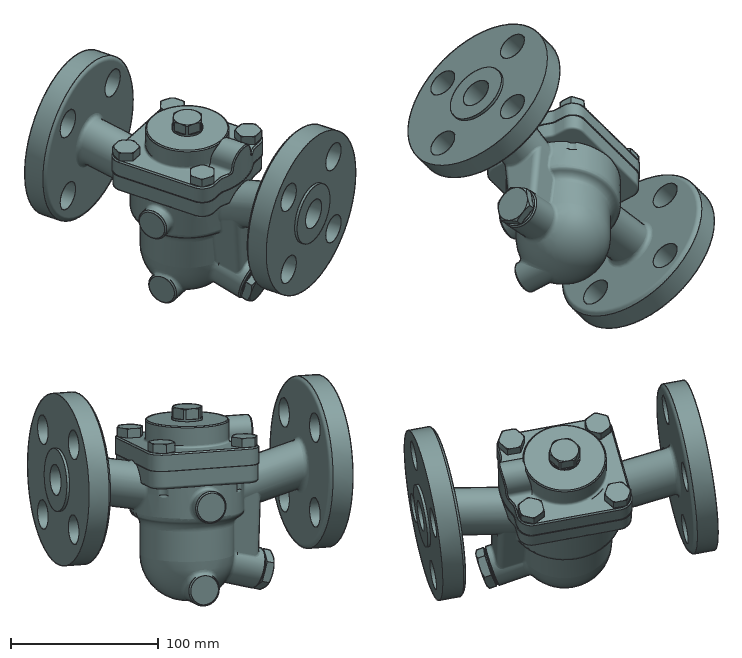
import cadquery as cq
import math


TOLERANCE = 1e-3
MARGIN = 0.1

FACE_TO_FACE = 195.0
FLANGE_DIA = 117.0
FLANGE_THICKNESS = 16.5
RAISED_FACE_DIA = 42.9
RAISED_FACE_HEIGHT = 2.0
FLANGE_CHAMFER = 2.0
FLANGE_BACK_X = FACE_TO_FACE / 2 - RAISED_FACE_HEIGHT - FLANGE_THICKNESS
BOLT_CIRCLE_DIA = 82.5
BOLT_HOLE_DIA = 20.0
BORE_DIA = 21.0
BORE_DEPTH = 30.0

PIPE_DIA = 32.0
INLET_TILT = 10.5
OUTLET_TILT = 15.0
PIPE_PIVOT_X = 81.0
PIPE_ROOT = 5.0
PIPE_FILLET = 3.0
PIPE_BODY_FILLET = 2.5

AXIS_X = -2.3
BODY_RADIUS = 32.0
NECK_RADIUS = 38.7
SPHERE_Z = -57.0
SHOULDER_END_Z = -36.2
SHOULDER_RADIUS = 7.0
SHOULDER_ROUND = 4.0

COVER_TOP_Z = 20.7
JOINT_Z = 8.4
BODY_FLANGE_BOTTOM_Z = -3.9
COVER_SIDE = 79.6
COVER_CORNER = 10.0
COVER_LOBE_RADIUS = 44.8
LOBE_BLEND = 8.0
BODY_FLANGE_INSET = 0.6
COVER_EDGE = 1.0
NECK_TOP_Z = 19.0
BODY_FLANGE_EDGE = 1.7

CAP_DIA = 56.5
CAP_TOP_Z = 35.5
CAP_FILLET = 1.7
CAP_EDGE = 0.8
ARM_RADIUS = 12.0
ARM_EDGE = 0.8

BOLT_OFFSET = 30.0
BOLT_FLATS = 16.0
BOLT_FACE_DIA = 17.0
BOLT_TURN = 30.0
BOLT_HEAD_TOP_Z = 27.0
HEX_CHAMFER_ANGLE = 30.0
BOLT_RELIEF_DIA = 10.0
BOLT_RELIEF_BOTTOM_Z = -10.3
BOLT_RELIEF_TIP = 5.0
BOLT_RELIEF_FILLET = 2.0

PLUG_FLATS = 19.0
PLUG_DIA = 21.0
PLUG_COLLAR_HEIGHT = 1.4
PLUG_TOP_Z = 44.2

BOSS_DIA = 22.0
BOSS_EDGE = 1.0
UPPER_BOSS_FILLET = 2.3
LOWER_BOSS_FILLET = 3.0
UPPER_BOSS_Z = -17.4
UPPER_BOSS_REACH = 46.0
LOWER_BOSS_Z = -76.5
LOWER_BOSS_REACH = 33.2

STRAINER_TILT = 15.0
STRAINER_DIA = 28.0
STRAINER_LENGTH = 52.5
STRAINER_EDGE = 1.0
STRAINER_FILLET = 3.5
STRAINER_COLLAR_DIA = 22.0
STRAINER_COLLAR_LENGTH = 1.0
STRAINER_CAP_FLATS = 24.0
STRAINER_CAP_LENGTH = 6.0
RIB_TOP_WIDTH = 31.4
RIB_DRAFT = 5.0
RIB_END_X = 46.4
RIB_EDGE = 4.2
RIB_FILLET = 2.0


def tilted(tilt, origin):
    """Workplane whose normal points toward +X and dips by `tilt` degrees."""
    angle = math.radians(tilt)
    normal = (math.cos(angle), 0, -math.sin(angle))
    return cq.Workplane(cq.Plane(origin=origin, xDir=(0, 1, 0), normal=normal))


def upright(z):
    """Horizontal workplane at height z, centred on the body axis."""
    return cq.Workplane("XY", origin=(AXIS_X, 0, z))


def shared_edges(shape, first, second):
    """Edges of `shape` that lie on the surfaces of both other shapes."""
    sample_fractions = (0.3, 0.5, 0.8)
    skins = [cq.Compound.makeCompound(solid.faces().vals()) for solid in (first, second)]

    def on_both(edge):
        points = [cq.Vertex.makeVertex(*edge.positionAt(f).toTuple()) for f in sample_fractions]
        return all(point.distance(skin) < TOLERANCE for point in points for skin in skins)

    return shape.newObject([edge for edge in shape.edges().vals() if on_both(edge)])


def joined(base, tool, radius):
    """Union of two shapes with a fillet along the line where their surfaces meet."""
    both = base.union(tool)
    return shared_edges(both, base, tool).fillet(radius)


def relieved(base, tool, radius):
    """Base with the tool cut away and the rim of the cut rounded, except along its flat top."""
    cut = base.cut(tool)
    top_z = tool.val().BoundingBox().zmax
    rim = shared_edges(cut, base, tool).filter(lambda edge: edge.BoundingBox().zmin < top_z - TOLERANCE)
    return rim.fillet(radius)


def hex_head(flats, dia, height, turn=0.0):
    """Hexagonal prism on z = 0 whose upper corners are turned down to a cone of diameter `dia`."""
    across_corners = flats / math.cos(math.pi / 6)
    prism = cq.Workplane("XY").polygon(6, across_corners).extrude(height)
    overhang = (across_corners - dia) / 2
    drop = overhang * math.tan(math.radians(HEX_CHAMFER_ANGLE))
    cone = (
        cq.Workplane("XZ")
        .polyline([
            (0, 0),
            (across_corners / 2, 0),
            (across_corners / 2, height - drop),
            (dia / 2, height),
            (0, height),
        ])
        .close()
        .revolve(360, (0, 0), (0, 1))
    )
    return prism.intersect(cone).rotate((0, 0, 0), (0, 0, 1), turn)


def outlet_flange():
    """Flange on the +X side with its raised face and bolt holes."""
    hole_spacing = BOLT_CIRCLE_DIA / math.sqrt(2)
    return (
        cq.Workplane("YZ", origin=(FLANGE_BACK_X, 0, 0))
        .circle(FLANGE_DIA / 2)
        .extrude(FLANGE_THICKNESS)
        .faces("<X").edges().chamfer(FLANGE_CHAMFER)
        .faces(">X").workplane()
        .rect(hole_spacing, hole_spacing, forConstruction=True)
        .vertices().hole(BOLT_HOLE_DIA)
        .faces(">X").workplane()
        .circle(RAISED_FACE_DIA / 2)
        .extrude(RAISED_FACE_HEIGHT)
    )


def pipe(tilt):
    """Outlet pipe falling from the flange to the body axis."""
    angle = math.radians(tilt)
    start = (PIPE_PIVOT_X + PIPE_ROOT * math.cos(angle), 0, PIPE_ROOT * math.sin(angle))
    length = PIPE_ROOT + (PIPE_PIVOT_X - abs(AXIS_X)) / math.cos(angle)
    return tilted(180 - tilt, start).circle(PIPE_DIA / 2).extrude(length)


def flanged_pipe(tilt):
    """Flange and pipe on the +X side, joined by a fillet."""
    reach = RAISED_FACE_DIA / 2
    around_joint = cq.selectors.BoxSelector(
        (FLANGE_BACK_X - MARGIN, -reach, -reach), (FLANGE_BACK_X + MARGIN, reach, reach)
    )
    flanged = outlet_flange().union(pipe(tilt))
    return flanged.edges(around_joint).fillet(PIPE_FILLET)


def body_shell():
    """Neck, shoulder, cylindrical wall and hemispherical bottom as one revolved solid."""
    hollow_x = BODY_RADIUS + SHOULDER_RADIUS
    round_x = NECK_RADIUS - SHOULDER_ROUND
    centre_distance = SHOULDER_RADIUS + SHOULDER_ROUND
    across = hollow_x - round_x
    lean = math.asin(across / centre_distance)
    round_z = SHOULDER_END_Z + centre_distance * math.cos(lean)

    def on_round(angle):
        return (
            round_x + SHOULDER_ROUND * math.cos(angle),
            round_z + SHOULDER_ROUND * math.sin(angle),
        )

    def on_hollow(angle):
        return (
            hollow_x + SHOULDER_RADIUS * math.cos(angle),
            SHOULDER_END_Z + SHOULDER_RADIUS * math.sin(angle),
        )

    turn_round = lean - math.pi / 2
    turn_hollow = lean + math.pi / 2
    diagonal = BODY_RADIUS * math.sqrt(0.5)
    return (
        cq.Workplane("XZ", origin=(AXIS_X, 0, 0))
        .moveTo(0, NECK_TOP_Z)
        .lineTo(NECK_RADIUS, NECK_TOP_Z)
        .lineTo(NECK_RADIUS, round_z)
        .threePointArc(on_round(turn_round / 2), on_round(turn_round))
        .threePointArc(on_hollow((turn_hollow + math.pi) / 2), (BODY_RADIUS, SHOULDER_END_Z))
        .lineTo(BODY_RADIUS, SPHERE_Z)
        .threePointArc((diagonal, SPHERE_Z - diagonal), (0, SPHERE_Z - BODY_RADIUS))
        .close()
        .revolve(360, (0, 0), (0, 1))
    )


def front_boss(z, reach):
    """Round boss toward -Y with its outer edge chamfered."""
    return (
        cq.Workplane("XZ", origin=(AXIS_X, 0, z))
        .circle(BOSS_DIA / 2)
        .extrude(reach)
        .faces("<Y").edges().chamfer(BOSS_EDGE)
    )


def rib():
    """Upright rib, narrower toward the bottom, from the outlet pipe to the strainer branch."""
    top_z = -(PIPE_PIVOT_X - RIB_END_X) * math.tan(math.radians(OUTLET_TILT))
    length = RIB_END_X - AXIS_X
    bottom_z = SPHERE_Z - length * math.tan(math.radians(STRAINER_TILT))
    top_half = RIB_TOP_WIDTH / 2
    bottom_half = top_half - (top_z - bottom_z) * math.tan(math.radians(RIB_DRAFT))
    return (
        cq.Workplane("YZ", origin=(AXIS_X, 0, 0))
        .polyline([(-top_half, top_z), (top_half, top_z), (bottom_half, bottom_z), (-bottom_half, bottom_z)])
        .close()
        .extrude(length)
        .faces(">X").edges("not |Y").fillet(RIB_EDGE)
    )


def strainer_branch():
    """Cylindrical branch that starts at the centre of the hemisphere, with its outer edge chamfered."""
    return (
        tilted(STRAINER_TILT, (AXIS_X, 0, SPHERE_Z))
        .circle(STRAINER_DIA / 2)
        .extrude(STRAINER_LENGTH)
        .faces(">X").edges().chamfer(STRAINER_EDGE)
    )


def strainer_cap():
    """Collar and hexagonal plug on the end of the strainer branch."""
    collar = cq.Workplane("XY").circle(STRAINER_COLLAR_DIA / 2).extrude(STRAINER_COLLAR_LENGTH)
    head = hex_head(STRAINER_CAP_FLATS, STRAINER_CAP_FLATS, STRAINER_CAP_LENGTH)
    cap = collar.union(head.translate((0, 0, STRAINER_COLLAR_LENGTH)))
    return (
        cap.translate((0, 0, STRAINER_LENGTH))
        .rotate((0, 0, 0), (0, 1, 0), 90 + STRAINER_TILT)
        .translate((AXIS_X, 0, SPHERE_Z))
    )


def joint_plate(bottom_z, top_z, inset=0.0):
    """Square plate with rounded corners and a round lobe on the +X side."""
    side = COVER_SIDE - 2 * inset
    lobe_radius = COVER_LOBE_RADIUS - inset
    height = top_z - bottom_z
    square = upright(bottom_z).rect(side, side).extrude(height).edges("|Z").fillet(COVER_CORNER - inset)
    lobe_half = math.sqrt(lobe_radius ** 2 - (side / 2) ** 2)
    lobe = (
        upright(bottom_z)
        .moveTo(0, -lobe_half)
        .lineTo(side / 2, -lobe_half)
        .threePointArc((lobe_radius, 0), (side / 2, lobe_half))
        .lineTo(0, lobe_half)
        .close()
        .extrude(height)
    )
    notch_edges = cq.selectors.BoxSelector(
        (AXIS_X + side / 2 - MARGIN, -lobe_half - MARGIN, bottom_z - MARGIN),
        (AXIS_X + side / 2 + MARGIN, lobe_half + MARGIN, top_z + MARGIN),
    )
    return square.union(lobe).edges("|Z").edges(notch_edges).fillet(LOBE_BLEND)


def arm():
    """Arched arm from the cap to the lobe, with flared feet on the cover."""
    axis_z = CAP_TOP_Z - ARM_RADIUS
    foot_z = COVER_TOP_Z - COVER_EDGE
    foot_half = ARM_RADIUS + axis_z - COVER_TOP_Z
    hollow = foot_half - ARM_RADIUS
    bend = hollow * (1 - math.sqrt(0.5))
    arch = (
        cq.Workplane("YZ", origin=(AXIS_X, 0, 0))
        .moveTo(-foot_half, foot_z)
        .lineTo(-foot_half, COVER_TOP_Z)
        .threePointArc((-ARM_RADIUS - bend, COVER_TOP_Z + bend), (-ARM_RADIUS, axis_z))
        .threePointArc((0, CAP_TOP_Z), (ARM_RADIUS, axis_z))
        .threePointArc((ARM_RADIUS + bend, COVER_TOP_Z + bend), (foot_half, COVER_TOP_Z))
        .lineTo(foot_half, foot_z)
        .close()
        .extrude(COVER_LOBE_RADIUS)
    )
    lobe_end = upright(foot_z).circle(COVER_LOBE_RADIUS).extrude(CAP_TOP_Z - foot_z)
    ended = arch.intersect(lobe_end)
    outline = cq.selectors.BoxSelector(
        (AXIS_X + COVER_SIDE / 2, -foot_half, COVER_TOP_Z + MARGIN),
        (AXIS_X + COVER_LOBE_RADIUS + MARGIN, foot_half, CAP_TOP_Z),
    )
    return ended.edges("not |X").edges(outline).chamfer(ARM_EDGE)


def cover():
    """Cover plate with the round cap and the arm."""
    plate = joint_plate(JOINT_Z, COVER_TOP_Z).faces(">Z").edges().chamfer(COVER_EDGE)
    cap = upright(COVER_TOP_Z).circle(CAP_DIA / 2).extrude(CAP_TOP_Z - COVER_TOP_Z)
    foot = cq.selectors.BoxSelector(
        (AXIS_X - CAP_DIA / 2, -CAP_DIA / 2, COVER_TOP_Z - MARGIN),
        (AXIS_X + CAP_DIA / 2, CAP_DIA / 2, COVER_TOP_Z + MARGIN),
    )
    capped = plate.union(cap).edges(foot).fillet(CAP_FILLET)
    return capped.faces(">Z").edges().chamfer(CAP_EDGE).union(arm())


def top_plug():
    """Round plug with six flats above a plain collar."""
    head_z = CAP_TOP_Z + PLUG_COLLAR_HEIGHT
    height = PLUG_TOP_Z - head_z
    barrel = cq.Workplane("XY").circle(PLUG_DIA / 2).extrude(height)
    head = hex_head(PLUG_FLATS, PLUG_FLATS, height).intersect(barrel)
    collar = upright(CAP_TOP_Z).circle(PLUG_DIA / 2).extrude(PLUG_COLLAR_HEIGHT)
    return collar.union(head.translate((AXIS_X, 0, head_z)))


def bolt_positions():
    """Corner positions of the cover bolts, relative to the body axis."""
    return [(BOLT_OFFSET * sx, BOLT_OFFSET * sy) for sx in (-1, 1) for sy in (-1, 1)]


def bolt_heads():
    """Four hexagon heads; heads next to each other differ by a twelfth of a turn."""
    heads = []
    for x, y in bolt_positions():
        turn = BOLT_TURN if x * y > 0 else 0
        head = hex_head(BOLT_FLATS, BOLT_FACE_DIA, BOLT_HEAD_TOP_Z - COVER_TOP_Z, turn)
        heads.append(head.translate((AXIS_X + x, y, COVER_TOP_Z)))
    return heads


def bolt_reliefs():
    """Pointed grooves beside the neck, below the bolts."""
    radius = BOLT_RELIEF_DIA / 2
    shape = (
        cq.Workplane("XZ")
        .polyline([
            (0, BODY_FLANGE_BOTTOM_Z),
            (radius, BODY_FLANGE_BOTTOM_Z),
            (radius, BOLT_RELIEF_BOTTOM_Z),
            (0, BOLT_RELIEF_BOTTOM_Z - BOLT_RELIEF_TIP),
        ])
        .close()
        .revolve(360, (0, 0), (0, 1))
    )
    return [shape.translate((AXIS_X + x, y, 0)) for x, y in bolt_positions()]


def bores():
    """Blind bores along the flange axis, one in each flange."""
    bore = cq.Workplane("YZ", origin=(FACE_TO_FACE / 2, 0, 0)).circle(BORE_DIA / 2).extrude(-BORE_DEPTH)
    return bore.union(bore.mirror("YZ"))


body = body_shell()
for relief in bolt_reliefs():
    body = relieved(body, relief, BOLT_RELIEF_FILLET)
body = joined(body, pipe(OUTLET_TILT), PIPE_BODY_FILLET)
body = joined(body, pipe(INLET_TILT).mirror("YZ"), PIPE_BODY_FILLET)
body = joined(body, front_boss(UPPER_BOSS_Z, UPPER_BOSS_REACH), UPPER_BOSS_FILLET)
body = joined(body, front_boss(LOWER_BOSS_Z, LOWER_BOSS_REACH), LOWER_BOSS_FILLET)
body = joined(body, strainer_branch(), STRAINER_FILLET)
body = joined(body, rib(), RIB_FILLET)
body = body.union(
    joint_plate(BODY_FLANGE_BOTTOM_Z, JOINT_Z, BODY_FLANGE_INSET).faces("<Z").edges().fillet(BODY_FLANGE_EDGE)
)

result = body.union(flanged_pipe(OUTLET_TILT))
result = result.union(flanged_pipe(INLET_TILT).mirror("YZ"))
result = result.union(cover())
for head in bolt_heads():
    result = result.union(head)
result = result.union(top_plug())
result = result.union(strainer_cap())
result = result.cut(bores())